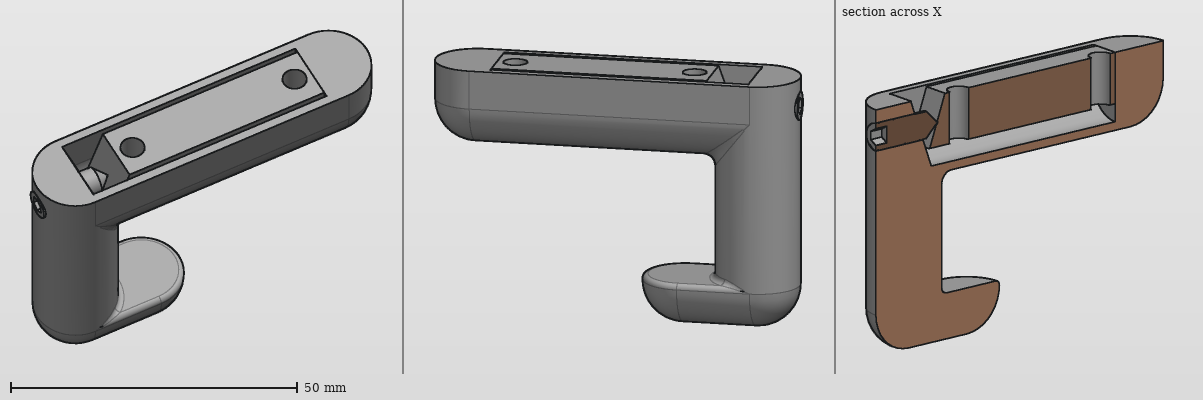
import cadquery as cq
import math

WIDTH = 15.0
RADIUS = WIDTH / 2
LENGTH = 65.0
HEIGHT = 45.0
ARM_SIDE_HEIGHT = 6.8
FOOT_LENGTH = 28.0
FOOT_EDGE_RADIUS = 1.0
ARM_BLEND_RADIUS = 2.0
FOOT_BLEND_RADIUS = 1.0
BLEND_END_GAP = 0.05

FRONT_Y = -RADIUS
BACK_Y = FRONT_Y + LENGTH
ARM_END_Y = BACK_Y - RADIUS
FOOT_END_Y = FRONT_Y + FOOT_LENGTH - RADIUS
ARM_AXIS_Z = -ARM_SIDE_HEIGHT
FOOT_AXIS_Z = RADIUS - HEIGHT
FOOT_TOP_Z = FOOT_AXIS_Z + FOOT_EDGE_RADIUS

POCKET_WIDTH = 11.7
POCKET_RADIUS = POCKET_WIDTH / 2
POCKET_DEPTH = ARM_SIDE_HEIGHT + POCKET_RADIUS
POCKET_FRONT_MARGIN = 8.0
POCKET_BACK_MARGIN = 11.0
POCKET_FRONT_Y = FRONT_Y + POCKET_FRONT_MARGIN
POCKET_BACK_Y = BACK_Y - POCKET_BACK_MARGIN
WEDGE_ANGLE = 20.0
WEDGE_SLOPE = math.tan(math.radians(WEDGE_ANGLE))

BLOCK_WIDTH = 10.0
BLOCK_TOP_LENGTH = 38.4
BLOCK_HEIGHT = 9.5
BLOCK_FRONT_Y = POCKET_BACK_Y - BLOCK_TOP_LENGTH
HOLE_DIAMETER = 4.2
HOLE_SPACING = 32.0
HOLE_MIDDLE_Y = POCKET_BACK_Y - BLOCK_TOP_LENGTH / 2

SCREW_RADIUS = 2.5
SCREW_LENGTH = 14.0
SCREW_AXIS_Z = -5.0
POINT_LENGTH = SCREW_RADIUS
SHANK_LENGTH = SCREW_LENGTH - POINT_LENGTH
SOCKET_SIDES = 6
SOCKET_FLATS = 2.6
SOCKET_DEPTH = 2.5


def half_section(axis_z, top_z, top_edge_radius):
    """Half section of a beam: quarter round below axis_z, then a flank or a round edge to top_z."""
    diagonal = math.sqrt(0.5)
    section = (
        cq.Workplane("XZ")
        .moveTo(0, axis_z - RADIUS)
        .threePointArc((RADIUS * diagonal, axis_z - RADIUS * diagonal), (RADIUS, axis_z))
    )
    if top_edge_radius > 0:
        inset = RADIUS - top_edge_radius
        rise = top_edge_radius * diagonal
        section = section.threePointArc((inset + rise, axis_z + rise), (inset, top_z))
    else:
        section = section.lineTo(RADIUS, top_z)
    return section.lineTo(0, top_z).close()


def rounded_beam(end_y, axis_z, top_z, top_edge_radius=0):
    """Beam along Y from the post axis, with ends turned from the same half section."""
    side = half_section(axis_z, top_z, top_edge_radius).extrude(-end_y)
    cap = half_section(axis_z, top_z, top_edge_radius).revolve(360, (0, 0, 0), (0, 1, 0))
    return side.union(side.mirror("YZ")).union(cap).union(cap.translate((0, end_y, 0)))


def blend_corner(body, top_z, bottom_z, radius):
    """Fill the inside corner seam that lies behind the post axis between two heights."""
    core_width = WIDTH - 2 * BLEND_END_GAP
    core_size = 2 * (LENGTH + HEIGHT)
    core = body.intersect(cq.Workplane("XY").box(core_width, core_size, core_size))
    corner_zone = cq.selectors.BoxSelector(
        (-RADIUS, BLEND_END_GAP, bottom_z - BLEND_END_GAP),
        (RADIUS, RADIUS + BLEND_END_GAP, top_z + BLEND_END_GAP),
        boundingbox=True,
    )
    seam = core.edges(corner_zone).edges("not(%LINE)")
    return body.union(seam.fillet(radius))


def wedge(width, front_y, depth, slope):
    """Bar up to the pocket back; its front starts at front_y on top and moves by slope with depth."""
    return (
        cq.Workplane("YZ")
        .polyline([
            (front_y, 0),
            (POCKET_BACK_Y, 0),
            (POCKET_BACK_Y, -depth),
            (front_y + depth * slope, -depth),
        ])
        .close()
        .extrude(width / 2, both=True)
    )


def make_pocket():
    """Round-floored channel whose front wall leans backward with depth."""
    channel = (
        cq.Workplane("XZ", origin=(0, POCKET_FRONT_Y, 0))
        .moveTo(-POCKET_RADIUS, 0)
        .lineTo(-POCKET_RADIUS, ARM_AXIS_Z)
        .threePointArc((0, -POCKET_DEPTH), (POCKET_RADIUS, ARM_AXIS_Z))
        .lineTo(POCKET_RADIUS, 0)
        .close()
        .extrude(POCKET_FRONT_Y - POCKET_BACK_Y)
    )
    return channel.intersect(wedge(POCKET_WIDTH, POCKET_FRONT_Y, POCKET_DEPTH, WEDGE_SLOPE))


def make_screw_blank():
    """Screw outline turned about its axis, without the socket."""
    return (
        cq.Workplane("XY", origin=(0, FRONT_Y, SCREW_AXIS_Z))
        .polyline([(0, 0), (SCREW_RADIUS, 0), (SCREW_RADIUS, SHANK_LENGTH), (0, SCREW_LENGTH)])
        .close()
        .revolve(360, (0, 0, 0), (0, 1, 0))
    )


def make_hook():
    """C-shaped hook with the pocket and the screw hole."""
    arm = rounded_beam(ARM_END_Y, ARM_AXIS_Z, 0)
    post = cq.Workplane("XY").circle(RADIUS).extrude(FOOT_AXIS_Z)
    foot = rounded_beam(FOOT_END_Y, FOOT_AXIS_Z, FOOT_TOP_Z, FOOT_EDGE_RADIUS)
    upper = blend_corner(arm.union(post), ARM_AXIS_Z, ARM_AXIS_Z - RADIUS, ARM_BLEND_RADIUS)
    hook = blend_corner(upper.union(foot), FOOT_TOP_Z, FOOT_AXIS_Z, FOOT_BLEND_RADIUS)
    return hook.cut(make_pocket()).cut(make_screw_blank())


def make_block():
    """Block with two through holes and a small seat for the screw point in its sloping front."""
    block = wedge(BLOCK_WIDTH, BLOCK_FRONT_Y, BLOCK_HEIGHT, -WEDGE_SLOPE)
    holes = (
        cq.Workplane("XY", origin=(0, HOLE_MIDDLE_Y, 0))
        .rarray(0.65, HOLE_SPACING, 1, 2)
        .circle(HOLE_DIAMETER / 2)
        .extrude(-BLOCK_HEIGHT)
    )
    return block.cut(holes).cut(make_screw_blank())


def make_screw():
    """Set screw with a hexagon socket that has corners at top and bottom."""
    half_side_angle = 180 / SOCKET_SIDES
    corner_diameter = SOCKET_FLATS / math.cos(math.radians(half_side_angle))
    socket = (
        cq.Workplane("XZ", origin=(0, FRONT_Y, SCREW_AXIS_Z))
        .transformed(rotate=(0, 0, half_side_angle))
        .polygon(SOCKET_SIDES, corner_diameter)
        .extrude(-SOCKET_DEPTH)
    )
    return make_screw_blank().cut(socket)


hook = make_hook()
block = make_block()
screw = make_screw()

result = cq.Compound.makeCompound([hook.val(), block.val(), screw.val()])